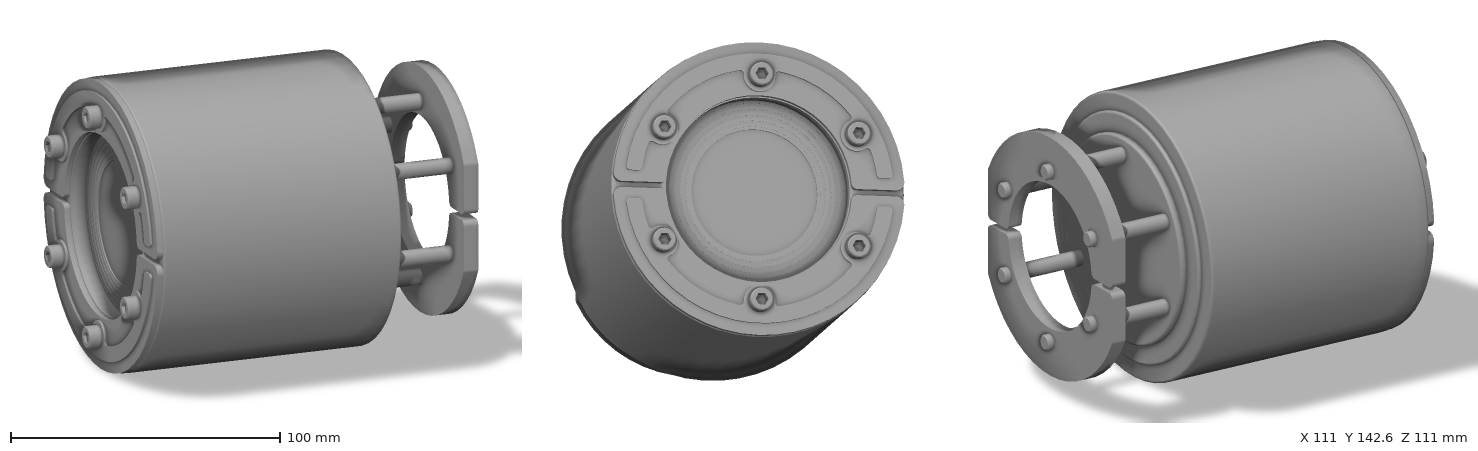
import cadquery as cq
import math

SLEEVE_DIA = 111.0
BORE_DIA = 101.0
SLEEVE_LENGTH = 95.9
END_FILLET = 1.0

RECESS_DIA = 69.6
RECESS_DEPTH = 6.1
PLUG_DIA = 47.7
PLUG_SETBACK = 0.7
LAYER_COUNT = 10
LAYER_SETBACK = 0.1
REAR_RING_DIA = 96.8
REAR_RING_HEIGHT = 1.5
REAR_BOSS_DIA = 81.0
REAR_BOSS_HEIGHT = 2.5

PLATE_DIA = 110.5
PLATE_HOLE_DIA = 70.5
PLATE_THICKNESS = 2.4
SLOT_WIDTH = 2.3
PLATE_OUTER_CORNER = 3.1
PLATE_INNER_CORNER = 2.1

BAND_OUTER_DIA = 101.7
BAND_INNER_DIA = 89.9
BAND_HEIGHT = 1.0
BAND_END_GAP = 5.3
BAND_CORNER = 1.4
PAD_DIA = 12.0

SCREW_CIRCLE_RADIUS = 42.5
HEAD_DIA = 8.5
HEAD_HEIGHT = 4.9
HEAD_CHAMFER = 0.4
SOCKET_CORNERS = 5.0
SOCKET_DEPTH = 4.3
SOCKET_CONE_DIA = 4.1
SOCKET_CONE_DEPTH = 1.1

STUD_CIRCLE_RADIUS = 34.0
STUD_DIA = 6.1
STUD_CHAMFER = 0.5
STUD_TIP = 2.5
REAR_PLATE_DIA = 95.0
REAR_PLATE_WIDTH = 85.6
REAR_PLATE_HOLE_DIA = 57.4
REAR_PLATE_THICKNESS = 5.9
REAR_PLATE_GAP = 26.0
REAR_PLATE_CORNER = 2.1

HALF_ANGLES = (30, 90, 150)
ALL_ANGLES = (30, 90, 150, 210, 270, 330)

RING_END = SLEEVE_LENGTH + REAR_RING_HEIGHT
BOSS_END = RING_END + REAR_BOSS_HEIGHT
REAR_PLATE_START = BOSS_END + REAR_PLATE_GAP
REAR_PLATE_END = REAR_PLATE_START + REAR_PLATE_THICKNESS
STUD_END = REAR_PLATE_END + STUD_TIP
BAND_FACE = -PLATE_THICKNESS - BAND_HEIGHT
HEAD_FACE = BAND_FACE - HEAD_HEIGHT
PLUG_FACE = RECESS_DEPTH + PLUG_SETBACK


def plane_at(y):
    """Plane across the axis at depth y: local x = X, local y = Z, normal = -Y."""
    return cq.Workplane("XZ", origin=(0, y, 0))


def disc(dia, y_start, y_end, x=0, z=0):
    return plane_at(y_end).center(x, z).circle(dia / 2).extrude(y_end - y_start)


def ring(outer_dia, inner_dia, y_start, y_end):
    return plane_at(y_end).circle(outer_dia / 2).circle(inner_dia / 2).extrude(y_end - y_start)


def block_above(z_min, y_start, y_end, width=SLEEVE_DIA):
    """Block over z_min, used to keep one half of a ring."""
    z_size = SLEEVE_DIA / 2
    centre_z = z_min + z_size / 2
    return plane_at(y_end).center(0, centre_z).rect(width, z_size).extrude(y_end - y_start)


def on_circle(radius, angle):
    turn = math.radians(angle)
    return radius * math.cos(turn), radius * math.sin(turn)


def mirrored_below(half):
    return half.mirror("XY")


def make_sleeve():
    blank = disc(SLEEVE_DIA, 0, SLEEVE_LENGTH).faces("<Y or >Y").edges().fillet(END_FILLET)
    return blank.cut(disc(BORE_DIA, 0, SLEEVE_LENGTH))


def make_core():
    core = disc(BORE_DIA, 0, SLEEVE_LENGTH)
    rear_ring = disc(REAR_RING_DIA, SLEEVE_LENGTH, RING_END).faces(">Y").edges().fillet(END_FILLET)
    rear_boss = disc(REAR_BOSS_DIA, RING_END, BOSS_END).faces(">Y").edges().fillet(END_FILLET)
    core = core.union(rear_ring).union(rear_boss)
    core = core.cut(disc(RECESS_DIA, 0, RECESS_DEPTH))
    return core.cut(disc(PLUG_DIA, RECESS_DEPTH, PLUG_FACE))


def step_layers(core):
    """Peel-off layers around the plug: every second one is set back slightly."""
    pitch = (RECESS_DIA - PLUG_DIA) / LAYER_COUNT
    for layer in range(0, LAYER_COUNT, 2):
        inner_dia = PLUG_DIA + layer * pitch
        step = ring(inner_dia + pitch, inner_dia, RECESS_DEPTH, RECESS_DEPTH + LAYER_SETBACK)
        core = core.cut(step)
    return core


def make_front_half_plate():
    plate = ring(PLATE_DIA, PLATE_HOLE_DIA, -PLATE_THICKNESS, 0)
    plate = plate.intersect(block_above(SLOT_WIDTH / 2, -PLATE_THICKNESS, 0))
    plate = plate.edges("|Y").edges("<X or >X").fillet(PLATE_OUTER_CORNER)
    hole_radius = PLATE_HOLE_DIA / 2
    inner_zone = cq.selectors.BoxSelector(
        (-hole_radius, -PLATE_THICKNESS, 0), (hole_radius, 0, SLOT_WIDTH)
    )
    return plate.edges("|Y").edges(inner_zone).fillet(PLATE_INNER_CORNER)


def make_band():
    band = ring(BAND_OUTER_DIA, BAND_INNER_DIA, BAND_FACE, -PLATE_THICKNESS)
    band = band.intersect(block_above(BAND_END_GAP, BAND_FACE, -PLATE_THICKNESS))
    for angle in HALF_ANGLES:
        x, z = on_circle(SCREW_CIRCLE_RADIUS, angle)
        band = band.union(disc(PAD_DIA, BAND_FACE, -PLATE_THICKNESS, x, z))
    return band.edges("|Y").fillet(BAND_CORNER)


def make_screw_head(x, z):
    head = disc(HEAD_DIA, HEAD_FACE, BAND_FACE, x, z).faces("<Y").chamfer(HEAD_CHAMFER)
    socket_floor = HEAD_FACE + SOCKET_DEPTH
    socket = plane_at(socket_floor).center(x, z).polygon(6, SOCKET_CORNERS).extrude(SOCKET_DEPTH)
    drill_tip = cq.Workplane(
        cq.Solid.makeCone(
            SOCKET_CONE_DIA / 2, 0, SOCKET_CONE_DEPTH, cq.Vector(x, socket_floor, z), cq.Vector(0, 1, 0)
        )
    )
    return head.cut(socket).cut(drill_tip)


def make_rear_half_plate():
    plate = ring(REAR_PLATE_DIA, REAR_PLATE_HOLE_DIA, REAR_PLATE_START, REAR_PLATE_END)
    keep = block_above(SLOT_WIDTH / 2, REAR_PLATE_START, REAR_PLATE_END, REAR_PLATE_WIDTH)
    plate = plate.intersect(keep)
    return plate.edges("|Y").fillet(REAR_PLATE_CORNER)


def make_stud(x, z):
    """Plain stud, rooted in the rear boss and passing through the rear plate."""
    return disc(STUD_DIA, RING_END, STUD_END, x, z).faces(">Y").chamfer(STUD_CHAMFER)


def make_insert():
    """Core with its clamping plates, screw heads and studs, all one body."""
    insert = step_layers(make_core())
    for half in (make_front_half_plate(), make_band(), make_rear_half_plate()):
        insert = insert.union(half).union(mirrored_below(half))
    for angle in ALL_ANGLES:
        insert = insert.union(make_screw_head(*on_circle(SCREW_CIRCLE_RADIUS, angle)))
        insert = insert.union(make_stud(*on_circle(STUD_CIRCLE_RADIUS, angle)))
    return insert


sleeve = make_sleeve()
insert = make_insert()

result = cq.Compound.makeCompound([sleeve.val(), *insert.solids().vals()])